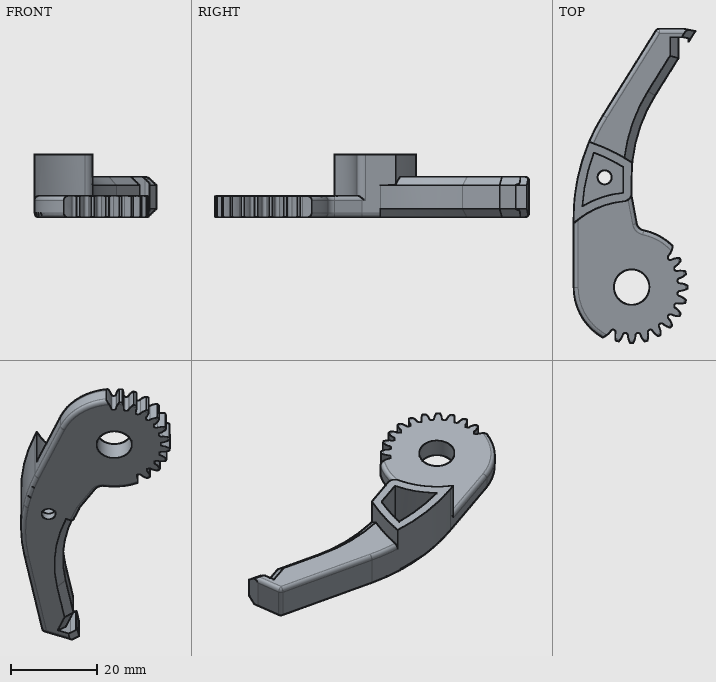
import cadquery as cq
import math

overall_length = 73.0

plate_height = 5.0
arm_height = 9.4
pillar_height = 14.6

wall = 2.0
edge_radius = 1.0
inner_chamfer = 2.0
neck_fillet = 2.0

tip_radius = 13.0
tooth_count = 24
root_depth_in_modules = 1.25
cut_gap_count = 11
gap_overrun = 0.4
pressure_angle = math.radians(20)
tooth_module = tip_radius / (tooth_count / 2 + 1)
pitch_radius = tip_radius - tooth_module
base_radius = pitch_radius * math.cos(pressure_angle)
root_radius = pitch_radius - root_depth_in_modules * tooth_module
tooth_pitch = 360 / tooth_count
first_gap_angle = 2.5 * tooth_pitch
last_gap_angle = first_gap_angle - (cut_gap_count - 1) * tooth_pitch
middle_gap_angle = (first_gap_angle + last_gap_angle) / 2
disc_radius = 13.5
bore_radius = 4.1

outer_arc_start_y = 16.05
outer_arc_radius = 45.05
inner_arc_start_y = 25.4
inner_arc_radius = 36.0
arm_lean = math.radians(32)
arm_end_y = overall_length - tip_radius
neck_top_y = 21.2
neck_foot_x = 1.45

hook_bend_x = 12.05
hook_corner_x = 14.8
hook_thickness = 2.05
hook_inner_length = 1.25
beak_length = 0.8
notch_left_x = 10.9

pillar_near_radius = 20.0
pillar_far_left_y = 33.7
pillar_far_right = (0, 29.0)
pillar_far_radius = 43.8
pillar_corner_fillet = 2.0
screw_radius = 1.6
screw_position = (-6.3, 25.5)

split_y = inner_arc_start_y

match_tolerance = 0.01


def point_on_circle(radius, angle_degrees):
    angle = math.radians(angle_degrees)
    return radius * math.cos(angle), radius * math.sin(angle)


def vertical_start_arc(x, y, radius, turn):
    """Point reached on an arc that leaves (x, y) upward and bends right by the given turn."""
    return x + radius * (1 - math.cos(turn)), y + radius * math.sin(turn)


def along_lean(start, x=None, y=None):
    """Point on the leaning line through start, at the given x or the given y."""
    if y is None:
        return x, start[1] + (x - start[0]) / math.tan(arm_lean)
    return start[0] + (y - start[1]) * math.tan(arm_lean), y


outer_start = (-disc_radius, outer_arc_start_y)
outer_middle = vertical_start_arc(*outer_start, outer_arc_radius, arm_lean / 2)
outer_arc_end = vertical_start_arc(*outer_start, outer_arc_radius, arm_lean)
outer_corner = along_lean(outer_arc_end, y=arm_end_y)
inner_start = (0, inner_arc_start_y)
inner_middle = vertical_start_arc(*inner_start, inner_arc_radius, arm_lean / 2)
inner_arc_end = vertical_start_arc(*inner_start, inner_arc_radius, arm_lean)
hook_bend = (hook_bend_x, arm_end_y)
hook_corner = along_lean(inner_arc_end, x=hook_corner_x)
hook_turn = math.atan2(hook_corner[1] - hook_bend[1], hook_corner[0] - hook_bend[0])
notch_top_y = arm_end_y - hook_thickness
pillar_turn = math.asin((pillar_far_left_y - outer_arc_start_y) / outer_arc_radius)
pillar_far_left = vertical_start_arc(*outer_start, outer_arc_radius, pillar_turn)
neck_foot = (neck_foot_x, math.sqrt(disc_radius**2 - neck_foot_x**2))


def outline_prism(height):
    """The whole silhouette, without notch and teeth, raised to one height."""
    return (
        cq.Workplane()
        .moveTo(-disc_radius, 0)
        .lineTo(*outer_start)
        .threePointArc(outer_middle, outer_arc_end)
        .lineTo(*outer_corner)
        .lineTo(*hook_bend)
        .lineTo(*hook_corner)
        .lineTo(*inner_arc_end)
        .threePointArc(inner_middle, inner_start)
        .lineTo(0, neck_top_y)
        .lineTo(*neck_foot)
        .threePointArc(point_on_circle(disc_radius, middle_gap_angle), (-disc_radius, 0))
        .close()
        .extrude(height)
    )


def half_space(side):
    """Large block on the +Y (side=1) or -Y (side=-1) side of the split line."""
    size = 3 * arm_end_y
    return cq.Workplane().box(size, size, size).translate((0, split_y + side * size / 2, 0))


def corner_edge(body, point):
    """Upright edge that stands on the given outline point."""
    target = cq.Vertex.makeVertex(*point, 0)
    return body.edges("|Z").filter(lambda edge: edge.distance(target) < match_tolerance)


def rim_edges(body, height, points):
    """Top and bottom edges that run through the given outline points."""
    targets = [cq.Vertex.makeVertex(x, y, z) for x, y in points for z in (0, height)]

    def touches_target(edge):
        return any(edge.distance(target) < match_tolerance for target in targets)

    return body.faces("|Z").edges().filter(touches_target)


def midpoint(a, b):
    return (a[0] + b[0]) / 2, (a[1] + b[1]) / 2


def make_plate():
    plate = outline_prism(plate_height).intersect(half_space(-1))
    plate = corner_edge(plate, neck_foot).fillet(neck_fillet)
    rim = plate.faces("|Z").edges().filter(lambda edge: edge.Center().y < split_y - match_tolerance)
    return rim.fillet(edge_radius)


def make_arm():
    arm = outline_prism(arm_height).intersect(half_space(1))
    inner_points = [inner_middle, midpoint(inner_arc_end, hook_corner)]
    arm = rim_edges(arm, arm_height, inner_points).chamfer(inner_chamfer)
    arm = corner_edge(arm, outer_corner).fillet(edge_radius)
    outer_points = [outer_middle, midpoint(outer_arc_end, outer_corner), midpoint(outer_corner, hook_bend)]
    return rim_edges(arm, arm_height, outer_points).fillet(edge_radius)


def make_notch():
    """Cutter for the notch behind the hook; its arm-side wall is chamfered above and below."""
    depth = notch_top_y - split_y
    along = (math.cos(hook_turn), math.sin(hook_turn))
    beak_root = (hook_bend_x + hook_inner_length * along[0], notch_top_y + hook_inner_length * along[1])
    beak_foot = (beak_root[0] + beak_length * along[1], beak_root[1] - beak_length * along[0])
    beyond_tip = (beak_foot[0] + disc_radius * along[0], beak_foot[1] + disc_radius * along[1])
    notch = (
        cq.Workplane()
        .moveTo(notch_left_x, split_y)
        .lineTo(notch_left_x, notch_top_y)
        .lineTo(hook_bend_x, notch_top_y)
        .lineTo(*beak_root)
        .lineTo(*beak_foot)
        .lineTo(*beyond_tip)
        .close()
        .extrude(arm_height)
    )
    for z, inward in ((0, 1), (arm_height, -1)):
        wedge = (
            cq.Workplane("XZ", origin=(notch_left_x, notch_top_y, z))
            .polyline([(-inner_chamfer, 0), (0, 0), (0, inward * inner_chamfer)])
            .close()
            .extrude(depth)
        )
        notch = notch.union(wedge)
    return notch


def pillar_footprint():
    """Pillar outline between an arc about the bore and the shallow arc facing the arm."""
    far_middle_x, far_middle_y = midpoint(pillar_far_left, pillar_far_right)
    dx = pillar_far_right[0] - pillar_far_left[0]
    dy = pillar_far_right[1] - pillar_far_left[1]
    chord = math.hypot(dx, dy)
    bulge = pillar_far_radius - math.sqrt(pillar_far_radius**2 - chord**2 / 4)
    far_middle = (far_middle_x - dy / chord * bulge, far_middle_y + dx / chord * bulge)
    near_left = (-disc_radius, math.sqrt(pillar_near_radius**2 - disc_radius**2))
    near_middle_x = -disc_radius / 2
    near_middle = (near_middle_x, math.sqrt(pillar_near_radius**2 - near_middle_x**2))
    outer_side_middle = vertical_start_arc(*outer_start, outer_arc_radius, pillar_turn / 2)
    return (
        cq.Workplane()
        .moveTo(*near_left)
        .lineTo(*outer_start)
        .threePointArc(outer_side_middle, pillar_far_left)
        .threePointArc(far_middle, pillar_far_right)
        .lineTo(0, pillar_near_radius)
        .threePointArc(near_middle, near_left)
        .close()
    )


def make_pillar():
    base_z = plate_height / 2
    pillar = pillar_footprint().extrude(pillar_height - base_z).translate((0, 0, base_z))
    return pillar.edges("|Z").edges(">X").edges("<Y").fillet(pillar_corner_fillet)


def make_pocket():
    pocket = pillar_footprint().offset2D(-wall, "intersection").extrude(pillar_height)
    return pocket.translate((0, 0, wall))


def gap_half_angle(radius):
    """Half the angle, in degrees, of an involute tooth gap at the given radius."""
    def involute(angle):
        return math.tan(angle) - angle

    spread = involute(math.acos(base_radius / radius)) - involute(pressure_angle)
    return tooth_pitch / 4 + math.degrees(spread)


def make_tooth_gap():
    """Cutter for one tooth gap, centred on +X."""
    outer_radius = disc_radius + gap_overrun
    flank_steps = 4
    step = (outer_radius - base_radius) / flank_steps
    radii = [base_radius + i * step for i in range(flank_steps + 1)]
    upper = [point_on_circle(r, gap_half_angle(r)) for r in radii]
    lower = [(x, -y) for x, y in reversed(upper)]
    return (
        cq.Workplane()
        .moveTo(*lower[-1])
        .threePointArc((root_radius, 0), upper[0])
        .spline(upper[1:], includeCurrent=True)
        .lineTo(*lower[0])
        .spline(lower[1:], includeCurrent=True)
        .close()
        .extrude(plate_height)
    )


def make_tip_ring():
    """Sector of a ring that trims the teeth to the tip radius."""
    outer_radius = 2 * tip_radius
    tip_first, tip_middle, tip_last = [
        point_on_circle(tip_radius, angle) for angle in (first_gap_angle, middle_gap_angle, last_gap_angle)
    ]
    rim_first, rim_middle, rim_last = [
        point_on_circle(outer_radius, angle) for angle in (first_gap_angle, middle_gap_angle, last_gap_angle)
    ]
    return (
        cq.Workplane()
        .moveTo(*tip_first)
        .threePointArc(tip_middle, tip_last)
        .lineTo(*rim_last)
        .threePointArc(rim_middle, rim_first)
        .close()
        .extrude(plate_height)
    )


plate = make_plate().cut(make_tip_ring())
tooth_gap = make_tooth_gap()
for index in range(cut_gap_count):
    angle = first_gap_angle - index * tooth_pitch
    plate = plate.cut(tooth_gap.rotate((0, 0, 0), (0, 0, 1), angle))

arm = make_arm().cut(make_notch())
bore = cq.Workplane().circle(bore_radius).extrude(plate_height)
screw_hole = cq.Workplane().center(*screw_position).circle(screw_radius).extrude(pillar_height)

result = plate.union(arm).union(make_pillar()).cut(make_pocket()).cut(bore).cut(screw_hole).clean()